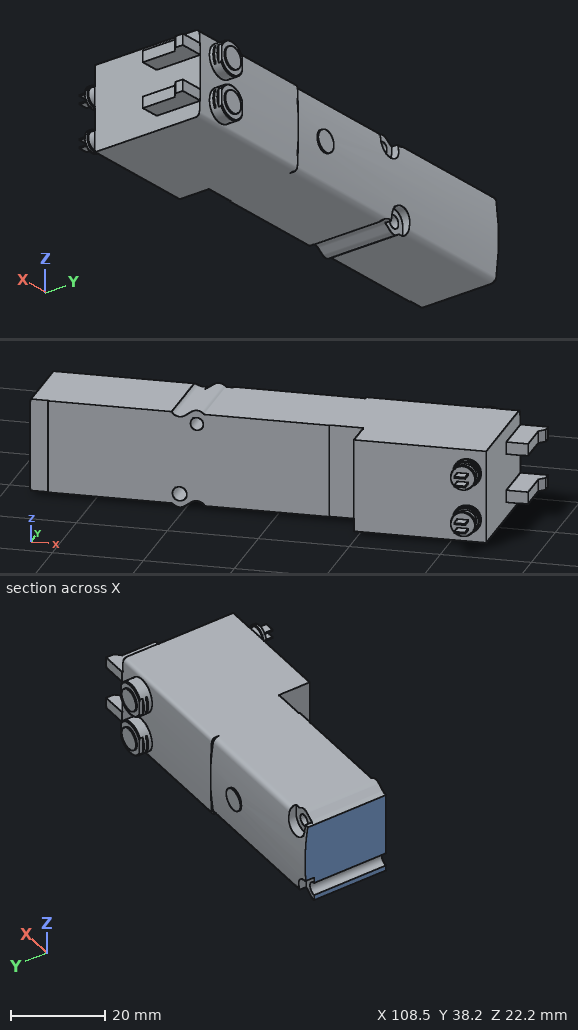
import cadquery as cq
import math

housing_length = 102.4
housing_half_height = 10.3
housing_depth = 20.8
cap_length = 4.0
lid_end = 65.9
front_step = 0.2
end_chamfer_x = 0.2
end_chamfer_z = 0.7
back_split = 68.8
main_sag = 0.9
main_edge_radius = 1.5
rear_sag = 0.3
rear_edge_radius = 1.1

upper_screw_x = 36.8
lower_screw_x = 33.0
screw_z = 8.0
upper_screw_diameter = 2.8
lower_screw_diameter = 3.1
counterbore_diameter = 6.1
screw_seat_y = 18.4
ear_height = 11.1
notch_height = 9.3
ear_radius = 2.1
ear_blend_radius = 0.4

block_start = 73.3
block_front_y = -7.7
socket_z = 5.2
plug_x = 98.3
plug_steps = [(6.1, 0.7), (5.3, 0.3), (4.5, 2.3), (5.3, 0.7)]
plug_front_y = -14.2
blade_width = 2.4
blade_thickness = 0.3
blade_z = 1.0

button_x = 95.2
button_diameter = 8.1
button_cap_diameter = 5.3
button_back_y = 24.0
button_cap_height = 0.3
button_chamfer = 0.2
button_root_y = 19.0
button_flat = 3.5
button_flat_height = 0.9
button_groove_y = 21.7
button_groove_width = 0.3

bump_x = 59.7
bump_diameter = 5.3
bump_height = 0.3
bump_root_y = 19.7
tab_z = 5.4
tab_height = 2.7
tab_front_y = 9.0
tab_reach = 107.2
lip_reach = 108.5
lip_depth = 2.0

pick_margin = 0.1


def box(x0, x1, y0, y1, z0, z1):
    """Block between two opposite corners."""
    return cq.Workplane("XY").box(x1 - x0, y1 - y0, z1 - z0, centered=False).translate((x0, y0, z0))


def rod(x, z, diameter, y0, y1):
    """Cylinder along Y."""
    plane = cq.Workplane("XZ", origin=(x, y0, z))
    return plane.circle(diameter / 2).extrude(y0 - y1)


def back_profile(x0, x1, sag, edge_radius):
    """Bar with a bulged back and rounded back edges."""
    edge_y = housing_depth - sag
    profile = (
        cq.Workplane("YZ", origin=(x0, 0, 0))
        .moveTo(0, -housing_half_height)
        .lineTo(edge_y, -housing_half_height)
        .threePointArc((housing_depth, 0), (edge_y, housing_half_height))
        .lineTo(0, housing_half_height)
        .close()
        .extrude(x1 - x0)
    )
    corners = cq.selectors.BoxSelector(
        (x0, edge_y - pick_margin, -housing_half_height - pick_margin),
        (x1, edge_y + pick_margin, housing_half_height + pick_margin),
    )
    return profile.edges("|X").edges(corners).fillet(edge_radius)


def ear_end_offset():
    """Distance along X from an ear's centre to where its arc meets the bar."""
    return math.sqrt(ear_radius**2 - (housing_half_height - ear_height + ear_radius) ** 2)


def ear_edge(outline, turn):
    """Add one notch, straight tangent flank and ear; turn = -1 gives the half turned opposite side."""
    mid_x = (upper_screw_x + lower_screw_x) / 2
    spacing = upper_screw_x - lower_screw_x
    ear_x = spacing / 2
    notch_x = -spacing / 2
    ear_z = ear_height - ear_radius
    notch_z = notch_height + ear_radius

    drop = notch_z - ear_z
    slope = math.asin(2 * ear_radius / math.hypot(spacing, drop)) - math.atan2(drop, spacing)
    tangent_x = ear_radius * math.sin(slope)
    tangent_z = ear_radius * math.cos(slope)

    notch_half = math.sqrt(ear_radius**2 - (notch_z - housing_half_height) ** 2)

    def place(x, z):
        return (mid_x + turn * x, turn * z)

    return (
        outline.lineTo(*place(notch_x - notch_half, housing_half_height))
        .threePointArc(place(notch_x, notch_height), place(notch_x + tangent_x, notch_z - tangent_z))
        .lineTo(*place(ear_x - tangent_x, ear_z + tangent_z))
        .threePointArc(place(ear_x, ear_height), place(ear_x + ear_end_offset(), housing_half_height))
    )


def make_housing():
    outline = cq.Workplane("XZ").moveTo(0, housing_half_height - end_chamfer_z)
    outline = outline.lineTo(end_chamfer_x, housing_half_height)
    outline = ear_edge(outline, 1)
    outline = outline.lineTo(housing_length, housing_half_height)
    outline = outline.lineTo(housing_length, -housing_half_height)
    outline = ear_edge(outline, -1)
    outline = outline.lineTo(end_chamfer_x, -housing_half_height)
    outline = outline.lineTo(0, -housing_half_height + end_chamfer_z)
    prism = outline.close().extrude(-housing_depth)

    ear_ends = [
        (upper_screw_x + ear_end_offset(), housing_half_height),
        (lower_screw_x - ear_end_offset(), -housing_half_height),
    ]
    for x, z in ear_ends:
        corner = cq.selectors.BoxSelector(
            (x - pick_margin, 0, z - pick_margin),
            (x + pick_margin, housing_depth, z + pick_margin),
        )
        prism = prism.edges("|Y").edges(corner).fillet(ear_blend_radius)

    envelope = back_profile(0, back_split, main_sag, main_edge_radius)
    rear = back_profile(back_split, housing_length, rear_sag, rear_edge_radius)
    envelope = envelope.union(rear)
    ear_room = box(
        lower_screw_x - counterbore_diameter, upper_screw_x + counterbore_diameter,
        0, screw_seat_y, -ear_height, ear_height,
    )
    body = prism.intersect(envelope.union(ear_room))

    for x0, x1 in [(0, cap_length), (lid_end, block_start)]:
        body = body.cut(box(x0, x1, 0, front_step, -housing_half_height, housing_half_height))

    screws = [
        (upper_screw_x, screw_z, upper_screw_diameter),
        (lower_screw_x, -screw_z, lower_screw_diameter),
    ]
    for x, z, diameter in screws:
        body = body.cut(rod(x, z, diameter, 0, housing_depth))
        body = body.cut(rod(x, z, counterbore_diameter, screw_seat_y, housing_depth))
        side_z = math.copysign(ear_height, z)
        body = body.cut(box(
            x - counterbore_diameter / 2, x + counterbore_diameter / 2,
            screw_seat_y, housing_depth, min(z, side_z), max(z, side_z),
        ))

    block = box(
        block_start, housing_length, block_front_y, front_step,
        -housing_half_height, housing_half_height,
    )
    return body.union(block)


def make_plug(z):
    """Stepped round plug with two contact blades, pointing to -Y."""
    y = block_front_y
    plug = None
    for diameter, length in plug_steps:
        step = rod(plug_x, z, diameter, y - length, y)
        plug = step if plug is None else plug.union(step)
        y -= length
    for offset in (-blade_z, blade_z):
        blade = box(
            plug_x - blade_width / 2, plug_x + blade_width / 2, plug_front_y, y,
            z + offset - blade_thickness / 2, z + offset + blade_thickness / 2,
        )
        plug = plug.union(blade)
    return plug


def make_button(z):
    """Round button with a low cap; flats and a narrow groove on its two X sides."""
    radius = button_diameter / 2
    shoulder_y = button_back_y - button_cap_height
    button = rod(button_x, z, button_diameter, button_root_y, shoulder_y)
    button = button.faces(">Y").chamfer(button_chamfer)
    cuts = [
        (shoulder_y - button_flat_height, shoulder_y),
        (button_groove_y, button_groove_y + button_groove_width),
    ]
    for y0, y1 in cuts:
        for side_x in (button_x - radius, button_x + button_flat):
            button = button.cut(box(side_x, side_x + radius - button_flat, y0, y1, z - radius, z + radius))
    return button.union(rod(button_x, z, button_cap_diameter, shoulder_y, button_back_y))


def make_tab(z):
    """Latch tab with a sloped lip at the back."""
    lip_y = housing_depth - lip_depth
    return (
        cq.Workplane("XY", origin=(0, 0, z - tab_height / 2))
        .moveTo(housing_length, tab_front_y)
        .lineTo(tab_reach, tab_front_y)
        .lineTo(tab_reach, lip_y - (lip_reach - tab_reach))
        .lineTo(lip_reach, lip_y)
        .lineTo(lip_reach, housing_depth)
        .lineTo(housing_length, housing_depth)
        .close()
        .extrude(tab_height)
    )


result = make_housing()
for side in (-1, 1):
    result = result.union(make_plug(side * socket_z))
    result = result.union(make_button(side * socket_z))
    result = result.union(make_tab(side * tab_z))
result = result.union(
    rod(bump_x, 0, bump_diameter, bump_root_y, housing_depth + bump_height)
)